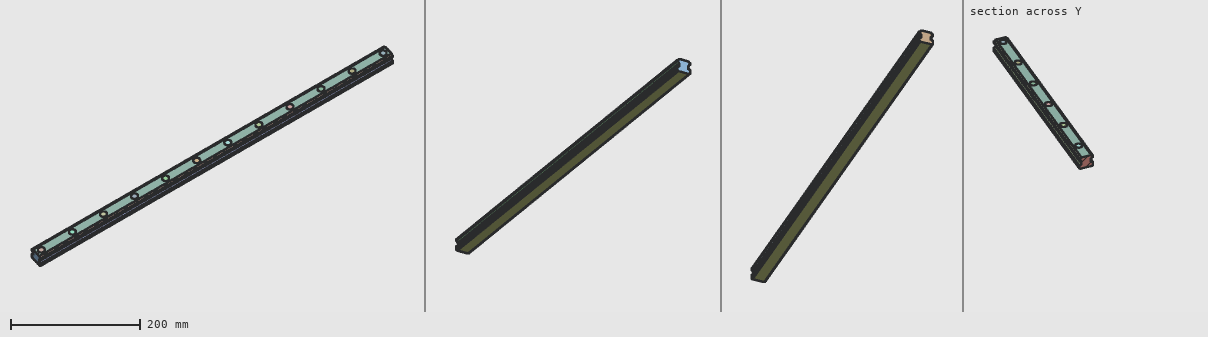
import cadquery as cq

length = 680.0
width = 23.0
height = 22.0
half_width = width / 2

base_bevel = 1.5
foot_side_top = 6.7

waist_half_width = 8.0
waist_bottom = 9.5
waist_top = 13.3

top_half_width = 8.4
head_land_top = 19.2
head_land_bottom = 17.3
lower_groove_half_width = 9.1
groove_sag = 0.7

hole_count = 12
hole_pitch = 60.0
hole_diameter = 11.0
recess_depth = 0.1


def rail_body():
    """Extrude the symmetric cross-section along Y, centred on the origin."""
    right_half = (
        cq.Workplane("XZ")
        .lineTo(half_width - base_bevel, 0)
        .lineTo(half_width, base_bevel)
        .lineTo(half_width, foot_side_top)
        .lineTo(waist_half_width, waist_bottom)
        .lineTo(waist_half_width, waist_top)
        .lineTo(lower_groove_half_width, waist_top)
        .sagittaArc((half_width, head_land_bottom), groove_sag)
        .lineTo(half_width, head_land_top)
        .sagittaArc((top_half_width, height), groove_sag)
        .lineTo(0, height)
        .close()
        .extrude(length / 2, both=True)
    )
    return right_half.union(right_half.mirror("YZ")).clean()


def cut_hole_recesses(body):
    """Sink the row of shallow round recesses into the top face."""
    recesses = (
        cq.Workplane("XY", origin=(0, 0, height))
        .rarray(1, hole_pitch, 1, hole_count)
        .circle(hole_diameter / 2)
        .extrude(-recess_depth)
    )
    return body.cut(recesses)


result = cut_hole_recesses(rail_body())